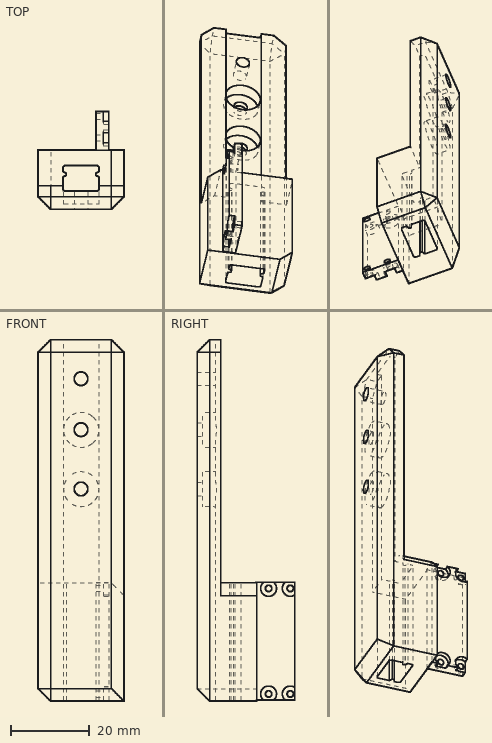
import cadquery as cq

WIDTH = 21.9
HEIGHT = 92.0
POST_DEPTH = 6.1
BLOCK_DEPTH = 15.2
BLOCK_HEIGHT = 30.2
EDGE_CHAMFER = 3.2
BLOCK_TOP_CHAMFER = 3.3

CHANNEL_WIDTH = 9.1
CHANNEL_FRONT = 4.7
CHANNEL_BACK = 11.1
CHANNEL_CORNER = 0.55
RIB_Y = 8.9
RIB_REACH = 0.8
RIB_BASE = 1.4
RIB_TIP = 0.55

FRONT_HOLE_DIAMETER = 3.4
PLAIN_HOLE_Z = 82.1
RECESSED_HOLES_Z = (69.1, 54.0)
RECESS_DIAMETER = 8.9
SKIN = 1.4

TOTAL_DEPTH = 24.9
PLATE_LEFT = 3.8
PLATE_THICKNESS = 3.3
PLATE_BOTTOM = 0.3
PLATE_TOP = 30.3
PLATE_OVERLAP = 0.2
PLATE_HOLE_DIAMETER = 1.6
PLATE_HOLE_END_MARGIN = 1.6
PLATE_HOLE_BACK_MARGIN = 1.2
PLATE_HOLE_PITCH_Y = 5.5
COUNTERBORE_DIAMETER = 4.05
COUNTERBORE_DEPTH = 1.4

HALF_WIDTH = WIDTH / 2


def box(x_range, y_range, z_range):
    """Axis-aligned box between pairs of coordinates."""
    (x0, x1), (y0, y1), (z0, z1) = x_range, y_range, z_range
    return cq.Workplane("XY").box(x1 - x0, y1 - y0, z1 - z0, centered=False).translate((x0, y0, z0))


def cylinder_y(diameter, z, y0, y1):
    """Cylinder along +Y on the post's centre line."""
    axis_start = cq.Vector(0, y0, z)
    return cq.Workplane(cq.Solid.makeCylinder(diameter / 2, y1 - y0, axis_start, cq.Vector(0, 1, 0)))


def cylinder_x(diameter, y, z, x0, x1):
    """Cylinder along +X."""
    axis_start = cq.Vector(x0, y, z)
    return cq.Workplane(cq.Solid.makeCylinder(diameter / 2, x1 - x0, axis_start, cq.Vector(1, 0, 0)))


def make_post():
    """Post with its four front edges, both upper side edges and lower left edge chamfered."""
    post = box((-HALF_WIDTH, HALF_WIDTH), (0, POST_DEPTH), (0, HEIGHT))
    front_edges = post.faces("<Y").edges()
    upper_side_edges = post.faces(">Z").edges("|Y")
    lower_left_edge = post.edges("<X and <Z")
    bevelled_edges = front_edges.vals() + upper_side_edges.vals() + lower_left_edge.vals()
    return post.newObject(bevelled_edges).chamfer(EDGE_CHAMFER)


def make_block():
    """Deeper foot behind the post, continuing its lower left bevel and bevelled at the upper right."""
    block = box((-HALF_WIDTH, HALF_WIDTH), (POST_DEPTH, BLOCK_DEPTH), (0, BLOCK_HEIGHT))
    block = block.edges("<X and <Z").chamfer(EDGE_CHAMFER)
    return block.edges(">X and >Z").chamfer(BLOCK_TOP_CHAMFER)


def make_rib(side):
    """Tapered guide rib on one channel wall; side is -1 for left, 1 for right."""
    wall = side * CHANNEL_WIDTH / 2
    tip = wall - side * RIB_REACH
    return (
        cq.Workplane("XY")
        .polyline([
            (wall, RIB_Y - RIB_BASE / 2),
            (tip, RIB_Y - RIB_TIP / 2),
            (tip, RIB_Y + RIB_TIP / 2),
            (wall, RIB_Y + RIB_BASE / 2),
        ])
        .close()
        .extrude(BLOCK_HEIGHT)
    )


def make_channel():
    """Full-height channel with rounded corners, less the two guide ribs in the block."""
    half_channel = CHANNEL_WIDTH / 2
    channel = box((-half_channel, half_channel), (CHANNEL_FRONT, CHANNEL_BACK), (0, HEIGHT))
    channel = channel.edges("|Z").fillet(CHANNEL_CORNER)
    for side in (-1, 1):
        channel = channel.cut(make_rib(side))
    return channel


def make_plate():
    """Mounting plate with four holes counterbored from the right."""
    plate_right = PLATE_LEFT + PLATE_THICKNESS
    plate_front = BLOCK_DEPTH - PLATE_OVERLAP
    plate = box((PLATE_LEFT, plate_right), (plate_front, TOTAL_DEPTH), (PLATE_BOTTOM, PLATE_TOP))
    back_row_y = TOTAL_DEPTH - PLATE_HOLE_BACK_MARGIN
    for y in (back_row_y, back_row_y - PLATE_HOLE_PITCH_Y):
        for z in (PLATE_BOTTOM + PLATE_HOLE_END_MARGIN, PLATE_TOP - PLATE_HOLE_END_MARGIN):
            plate = plate.cut(cylinder_x(PLATE_HOLE_DIAMETER, y, z, PLATE_LEFT, plate_right))
            counterbore_floor = plate_right - COUNTERBORE_DEPTH
            plate = plate.cut(cylinder_x(COUNTERBORE_DIAMETER, y, z, counterbore_floor, plate_right))
    return plate


result = make_post().union(make_block()).cut(make_channel())
for hole_z in (PLAIN_HOLE_Z, *RECESSED_HOLES_Z):
    result = result.cut(cylinder_y(FRONT_HOLE_DIAMETER, hole_z, 0, POST_DEPTH))
for hole_z in RECESSED_HOLES_Z:
    result = result.cut(cylinder_y(RECESS_DIAMETER, hole_z, SKIN, POST_DEPTH))
result = result.union(make_plate())